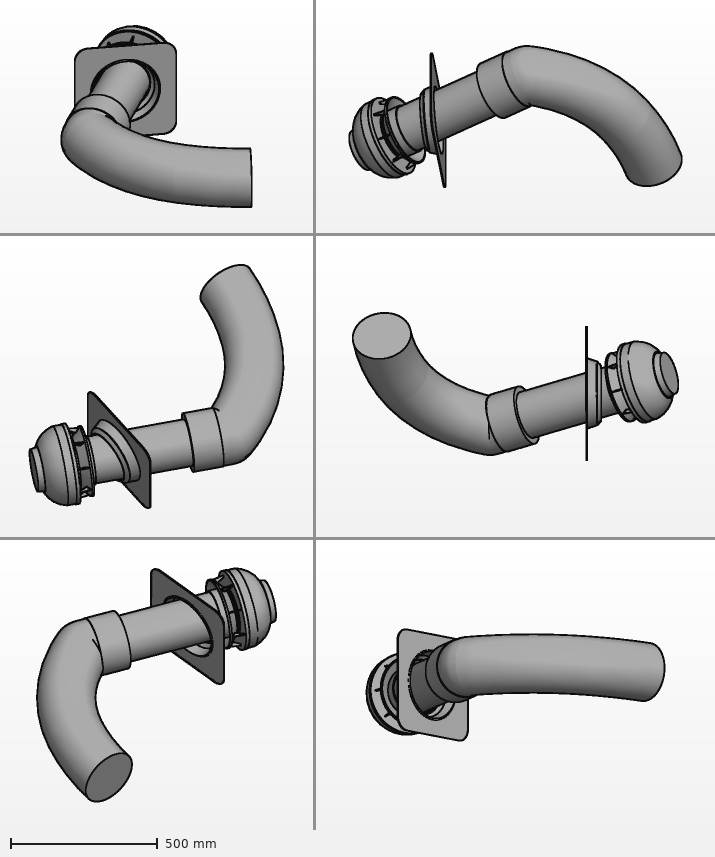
import cadquery as cq
import math


socket_radius = 102.0
socket_length = 103.0
elbow_radius = 100.0
knee_depth = 35.0
first_bend_angle = 47.4
first_bend_radius = 498.0
last_bend_angle = 18.0
last_bend_radius = 757.0

pipe_radius = 81.0

sleeve_radius = 85.0
sleeve_bottom = 441.0
rim_bottom = 455.0
rim_radius = 122.0
rim_height = 7.5
skirt_top = 494.0
sleeve_top = 500.0
skirt_wall = 4.0
vane_count = 8
vane_thickness = 3.0
vane_top_outer_radius = 123.0
vane_top_inner_radius = 117.0
vane_foot_rise = 16.0

dome_bottom = 507.0
lip_radius = 139.0
lip_height = 13.0
dome_radius = 137.0
dome_shoulder = 550.0
dome_bulge_radius = 115.0
dome_bulge_height = 594.0
dome_crown_radius = 83.0
dome_top = 617.0

spigot_base_radius = 78.0
spigot_top_radius = 73.0
spigot_top = 640.0

plate_tilt = 25.0
plate_x = 21.0
plate_y = 337.0
plate_side = 350.0
plate_corner_radius = 45.0
plate_thickness = 4.0
plate_hole_radius = 115.0
upstand_base_radius = 122.0
upstand_shoulder_radius = 108.5
upstand_shoulder_height = 38.0
upstand_top_radius = 94.0
upstand_top_height = 51.0
upstand_wall = 3.0


def rod(radius, bottom, top):
    """Cylinder on the flue axis between two Y positions."""
    return cq.Workplane("XZ", origin=(0, bottom, 0)).circle(radius).extrude(bottom - top)


def turned(profile):
    """Solid of revolution about the flue axis."""
    return profile.close().revolve(360, (0, 0, 0), (0, 1, 0))


def make_elbow():
    """Tube along two tangent arcs, joined to the socket by a stub with a rounded knee."""
    first = math.radians(first_bend_angle)
    last = math.radians(last_bend_angle)
    low_x = first_bend_radius * math.sin(first)
    low_y = -knee_depth - first_bend_radius * (1 - math.cos(first))

    def bend_point(radius, angle):
        """Point on the centreline, at an angle from the lowest point of the bend."""
        return (low_x + radius * math.sin(angle), low_y + radius * (1 - math.cos(angle)))

    path = (
        cq.Workplane("XY")
        .moveTo(0, -knee_depth)
        .threePointArc(bend_point(first_bend_radius, -first / 2), (low_x, low_y))
        .threePointArc(bend_point(last_bend_radius, last / 2), bend_point(last_bend_radius, last))
    )
    start = cq.Plane(
        origin=(0, -knee_depth, 0),
        xDir=(0, 0, 1),
        normal=(math.cos(first), -math.sin(first), 0),
    )
    tube = cq.Workplane(start).circle(elbow_radius).sweep(path)
    knee = cq.Workplane("XY", origin=(0, -knee_depth, 0)).sphere(elbow_radius)
    stub = rod(elbow_radius, -knee_depth, 0)
    above_socket_plane = rod(2 * elbow_radius, 0, 2 * elbow_radius)
    return stub.union(knee).union(tube).cut(above_socket_plane)


def make_socket():
    return rod(socket_radius, 0, socket_length)


def make_pipe():
    return rod(pipe_radius, socket_length, dome_bottom)


def make_deflector():
    rim_top = rim_bottom + rim_height
    skirt = turned(
        cq.Workplane("XY")
        .moveTo(rim_radius, rim_bottom)
        .lineTo(rim_radius, rim_top)
        .lineTo(sleeve_radius, skirt_top)
        .lineTo(sleeve_radius, sleeve_top)
        .lineTo(pipe_radius, sleeve_top)
        .lineTo(pipe_radius, sleeve_bottom)
        .lineTo(sleeve_radius, sleeve_bottom)
        .lineTo(sleeve_radius, skirt_top - 2 * skirt_wall)
        .lineTo(rim_radius - skirt_wall, rim_bottom)
    )
    skirt_slope = (rim_radius - sleeve_radius) / (skirt_top - rim_top)
    vane = (
        cq.Workplane("XY")
        .moveTo(rim_radius - skirt_wall, rim_top - skirt_wall / 2)
        .lineTo(rim_radius - skirt_wall, rim_top)
        .lineTo(vane_top_outer_radius, dome_bottom)
        .lineTo(vane_top_inner_radius, dome_bottom)
        .lineTo(rim_radius - vane_foot_rise * skirt_slope, rim_top + vane_foot_rise)
        .close()
        .extrude(vane_thickness / 2, both=True)
    )
    deflector = skirt
    for i in range(vane_count):
        deflector = deflector.union(vane.rotate((0, 0, 0), (0, 1, 0), i * 360 / vane_count))
    return deflector


def make_dome():
    lip_top = dome_bottom + lip_height
    return turned(
        cq.Workplane("XY")
        .moveTo(0, dome_bottom)
        .lineTo(lip_radius, dome_bottom)
        .lineTo(lip_radius, lip_top)
        .lineTo(dome_radius, lip_top)
        .lineTo(dome_radius, dome_shoulder)
        .threePointArc((dome_bulge_radius, dome_bulge_height), (dome_crown_radius, dome_top))
        .lineTo(0, dome_top)
    )


def make_spigot():
    return turned(
        cq.Workplane("XY")
        .moveTo(0, dome_top)
        .lineTo(spigot_base_radius, dome_top)
        .lineTo(spigot_top_radius, spigot_top)
        .lineTo(0, spigot_top)
    )


def make_flashing():
    plate = (
        cq.Workplane("XZ")
        .rect(plate_side, plate_side)
        .extrude(-plate_thickness)
        .edges("|Y")
        .fillet(plate_corner_radius)
        .cut(rod(plate_hole_radius, 0, plate_thickness))
    )
    upstand = turned(
        cq.Workplane("XY")
        .moveTo(plate_hole_radius, 0)
        .lineTo(upstand_base_radius, 0)
        .lineTo(upstand_shoulder_radius, upstand_shoulder_height)
        .lineTo(upstand_top_radius, upstand_top_height)
        .lineTo(upstand_top_radius - upstand_wall, upstand_top_height)
        .lineTo(upstand_shoulder_radius - upstand_wall, upstand_shoulder_height - upstand_wall)
    )
    flashing = plate.union(upstand)
    return flashing.rotate((0, 0, 0), (0, 0, 1), plate_tilt).translate((plate_x, plate_y, 0))


elbow = make_elbow()
socket = make_socket()
pipe = make_pipe()
deflector = make_deflector()
dome = make_dome()
spigot = make_spigot()
flashing = make_flashing()

result = cq.Compound.makeCompound([
    elbow.val(),
    socket.val(),
    pipe.val(),
    deflector.val(),
    dome.val(),
    spigot.val(),
    flashing.val(),
])